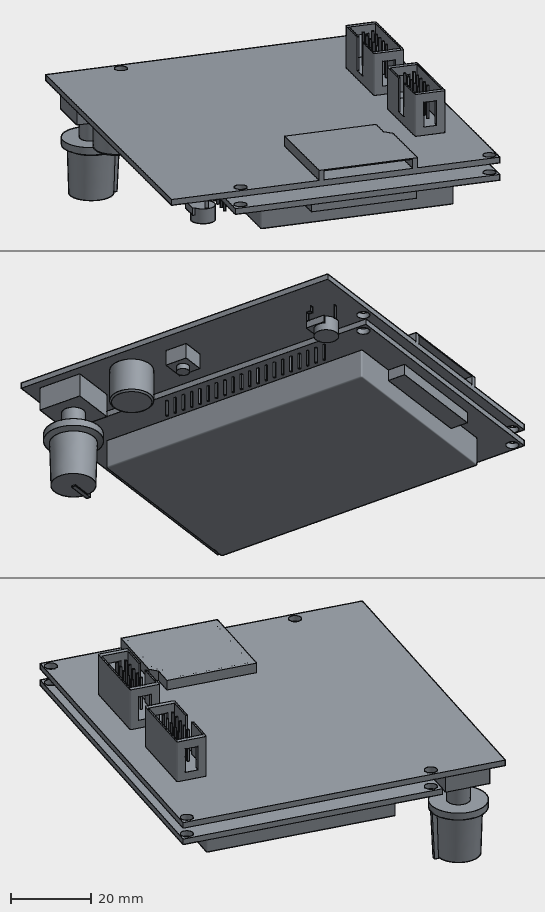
import cadquery as cq
import math


board_width = 92.5
board_depth = 87.0
board_thickness = 1.6
board_gap = 3.05
display_board_depth = 70.1
display_board_top = -board_gap
display_board_bottom = display_board_top - board_thickness

hole_diameter = 3.2
hole_side_inset = 2.3
hole_back_inset = 1.9
hole_row_spacing = 65.95

pin_size = 0.5
pin_pitch = 2.5

header_length = 20.8
header_width = 8.0
header_height = 11.2
header_center_y = 76.0
header_centers_x = (31.2, 61.4)
header_end_wall = 1.3
header_side_wall = 0.5
header_edge_radius = 0.4
header_floor = 2.2
header_key_width = 3.9
header_window_width = 3.4
header_window_height = 6.6
header_pin_columns = 5
header_pin_rows = 2
header_pin_drop = 0.2

socket_left = 67.2
socket_front = 39.1
socket_back = 65.2
socket_height = 2.7
socket_step_depth = 1.85
socket_step_length = 5.5
socket_step_angle = 45
socket_wall = 1.3
socket_cover = 0.3

control_row_y = 8.5

encoder_x = 10.0
encoder_size = 12.0
encoder_height = 6.5
shaft_diameter = 6.0
shaft_length = 6.1

knob_top = -(encoder_height + shaft_length)
skirt_radius = 7.5
skirt_thickness = 1.9
skirt_cone_height = 0.7
grip_top_radius = 6.0
grip_bottom_radius = 5.6
grip_length = 12.2
pointer_width = 1.1
pointer_drop = 0.4
pointer_top_reach = 7.3
pointer_bottom_reach = 6.7

buzzer_x = 27.6
buzzer_diameter = 11.0
buzzer_height = 9.25
buzzer_chamfer = 0.5

button_x = 43.0
button_size = 6.1
button_height = 4.3
button_cap_diameter = 3.3
button_cap_height = 1.5

trimmer_x = 84.4
trimmer_y = 11.3
trimmer_diameter = 6.2
trimmer_top = -4.2
trimmer_height = 4.0
trimmer_block_left = 80.6
trimmer_block_right = 85.8
trimmer_block_lead = 0.2
trimmer_block_height = 1.9
trimmer_leg_thickness = 0.2
trimmer_leg_width = 0.9
trimmer_right_leg_x = 87.0
trimmer_left_leg_x = 81.8
trimmer_bend_z = -1.5

display_width = 77.1
display_depth = 51.1
display_height = 8.0
display_edge_radius = 0.4
display_tab_reach = 4.9
display_tab_depth = 27.75
display_tab_height = 3.05
display_pin_count = 20
display_pin_length = 4.35
display_pin_center_x = 54.7
display_pin_inset = 2.2


def block(x0, x1, y0, y1, z0, z1):
    """Axis-aligned box between two opposite corners."""
    return cq.Workplane("XY").box(x1 - x0, y1 - y0, z1 - z0, centered=False).translate((x0, y0, z0))


def centered_block(x, y, width, depth, z0, z1):
    """Axis-aligned box centred on a point in plan."""
    return block(x - width / 2, x + width / 2, y - depth / 2, y + depth / 2, z0, z1)


def disc(x, y, diameter, z0, z1):
    """Upright cylinder."""
    return cq.Workplane("XY", origin=(x, y, z0)).circle(diameter / 2).extrude(z1 - z0)


def circuit_board(depth, underside):
    """Board flush with the back edge, with a mounting hole near the ends of both hole rows."""
    plate = block(0, board_width, board_depth - depth, board_depth, underside, underside + board_thickness)
    back_row = board_depth - hole_back_inset
    for x in (hole_side_inset, board_width - hole_side_inset):
        for y in (back_row, back_row - hole_row_spacing):
            plate = plate.cut(disc(x, y, hole_diameter, underside, underside + board_thickness))
    return plate


def box_header(x):
    """Shrouded header with a key slot in front, a window in each end and two rows of pins."""
    y = header_center_y
    base = board_thickness
    floor = base + header_floor
    top = base + header_height
    inner_length = header_length - 2 * header_end_wall
    inner_width = header_width - 2 * header_side_wall

    header = centered_block(x, y, header_length, header_width, base, top)
    header = header.edges("|Z").fillet(header_edge_radius)
    header = header.cut(centered_block(x, y, inner_length, inner_width, floor, top))
    header = header.cut(
        centered_block(x, y, header_length, header_window_width, floor, floor + header_window_height)
    )
    key_half = header_key_width / 2
    header = header.cut(block(x - key_half, x + key_half, y - header_width / 2, y, floor, top))

    for column in range(header_pin_columns):
        for row in range(header_pin_rows):
            pin_x = x + (column - (header_pin_columns - 1) / 2) * pin_pitch
            pin_y = y + (row - (header_pin_rows - 1) / 2) * pin_pitch
            header = header.union(
                centered_block(pin_x, pin_y, pin_size, pin_size, base, top - header_pin_drop)
            )
    return header


def card_shape(inset, height):
    """Block on the board in the outline of the card, inset on all sides but the right one."""
    left = socket_left + inset
    front = socket_front + inset
    back = socket_back - inset
    step_y = back - socket_step_depth
    step_x = socket_left + socket_step_length + inset * math.tan(math.radians(socket_step_angle / 2))
    return (
        cq.Workplane("XY", origin=(0, 0, board_thickness))
        .moveTo(left, front)
        .lineTo(board_width, front)
        .lineTo(board_width, back)
        .lineTo(step_x + socket_step_depth / math.tan(math.radians(socket_step_angle)), back)
        .lineTo(step_x, step_y)
        .lineTo(left, step_y)
        .close()
        .extrude(height)
    )


def card_socket():
    """Card socket at the right edge, stepped at its back left corner and open on its right side."""
    return card_shape(0, socket_height).cut(card_shape(socket_wall, socket_height - socket_cover))


def encoder():
    """Rotary encoder housing with its shaft."""
    housing = centered_block(encoder_x, control_row_y, encoder_size, encoder_size, -encoder_height, 0)
    return housing.union(disc(encoder_x, control_row_y, shaft_diameter, knob_top, -encoder_height))


def knob():
    """Turned knob with a skirt, and a pointer rib that runs down its back and under its end."""
    skirt_bottom = -skirt_thickness
    grip_top = skirt_bottom - skirt_cone_height
    grip_bottom = grip_top - grip_length
    turned = (
        cq.Workplane("XZ")
        .polyline([
            (0, 0),
            (skirt_radius, 0),
            (skirt_radius, skirt_bottom),
            (grip_top_radius, grip_top),
            (grip_bottom_radius, grip_bottom),
            (0, grip_bottom),
        ])
        .close()
        .revolve(360, (0, 0, 0), (0, 1, 0))
    )
    pointer = (
        cq.Workplane("YZ", origin=(-pointer_width / 2, 0, 0))
        .polyline([
            (0, skirt_bottom),
            (pointer_top_reach, skirt_bottom),
            (pointer_bottom_reach, grip_bottom - pointer_drop),
            (0, grip_bottom - pointer_drop),
        ])
        .close()
        .extrude(pointer_width)
    )
    return turned.union(pointer).translate((encoder_x, control_row_y, knob_top))


def buzzer():
    """Round buzzer with a chamfered lower rim."""
    case = disc(buzzer_x, control_row_y, buzzer_diameter, -buzzer_height, 0)
    return case.faces("<Z").chamfer(buzzer_chamfer)


def push_button():
    """Square push button with a round cap."""
    housing = centered_block(button_x, control_row_y, button_size, button_size, -button_height, 0)
    cap_bottom = -button_height - button_cap_height
    return housing.union(disc(button_x, control_row_y, button_cap_diameter, cap_bottom, -button_height))


def trimmer():
    """Round trimmer with a square shoulder in front, carried by one bent and one straight leg."""
    y = trimmer_y
    thickness = trimmer_leg_thickness
    front = y - trimmer_diameter / 2 - trimmer_block_lead
    leg_back = front + trimmer_leg_width
    left = trimmer_block_left
    block_bottom = trimmer_top - trimmer_block_height
    body = disc(trimmer_x, y, trimmer_diameter, trimmer_top - trimmer_height, trimmer_top)
    body = body.union(block(left, trimmer_block_right, front, y, block_bottom, trimmer_top))

    lower_left_leg = block(left, left + thickness, front, leg_back, trimmer_top, trimmer_bend_z)
    bend = block(
        left, trimmer_left_leg_x + thickness, front, leg_back, trimmer_bend_z - thickness, trimmer_bend_z
    )
    upper_left_leg = block(
        trimmer_left_leg_x, trimmer_left_leg_x + thickness, front, leg_back, trimmer_bend_z, 0
    )
    right_leg = centered_block(trimmer_right_leg_x, y, thickness, trimmer_leg_width, trimmer_top, 0)
    return body.union(lower_left_leg).union(bend).union(upper_left_leg).union(right_leg)


def display():
    """Display with rounded side and lower edges, and a flat tab on its right side."""
    x = board_width / 2
    y = board_depth - display_board_depth / 2
    top = display_board_bottom
    right = x + display_width / 2
    glass = centered_block(x, y, display_width, display_depth, top - display_height, top)
    glass = glass.edges("|Z or <Z").fillet(display_edge_radius)
    tab = block(
        x, right + display_tab_reach,
        y - display_tab_depth / 2, y + display_tab_depth / 2,
        top - display_tab_height, top,
    )
    return glass.union(tab)


def display_pins():
    """Separate pins in a single row along the front edge of the display board."""
    y = board_depth - display_board_depth + display_pin_inset
    first_x = display_pin_center_x - (display_pin_count - 1) / 2 * pin_pitch
    tip = display_board_bottom - display_pin_length
    return [
        centered_block(first_x + index * pin_pitch, y, pin_size, pin_size, tip, display_board_bottom)
        for index in range(display_pin_count)
    ]


def controller():
    """Controller board with everything mounted on it."""
    body = circuit_board(board_depth, 0)
    for x in header_centers_x:
        body = body.union(box_header(x))
    for component in (card_socket(), encoder(), knob(), buzzer(), push_button(), trimmer()):
        body = body.union(component)
    return body


def display_module():
    """Display board with its display and pin row."""
    body = circuit_board(display_board_depth, display_board_bottom).union(display())
    for pin in display_pins():
        body = body.union(pin)
    return body


result = cq.Compound.makeCompound([controller().val(), display_module().val()])